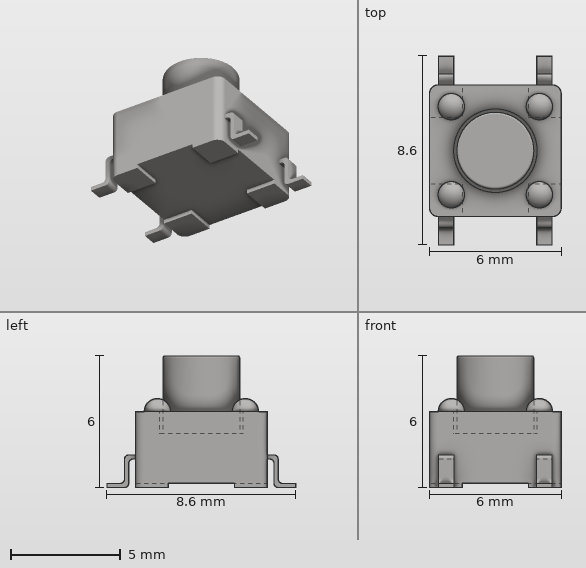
import cadquery as cq

body_side = 6.0
body_top = 3.46
corner_radius = 0.4
foot_height = 0.2
foot_side = 1.5

button_diameter = 3.5
button_top = 6.0
button_edge_radius = 0.1
well_diameter = 3.8
well_depth = 1.0

dome_radius = 0.6
dome_offset = 2.0

span = 8.6
lead_width = 0.705
lead_offset = 2.24
lead_thickness = 0.2
lead_top = 1.5
lead_drop_y = 3.5
bend_radius = 0.2
lead_embed = 0.09

mirror_signs = (-1, 1)


def square_points(offset):
    return [(x * offset, y * offset) for x in mirror_signs for y in mirror_signs]


def make_housing():
    """Rounded block standing on four square corner feet."""
    block = (
        cq.Workplane("XY")
        .rect(body_side, body_side)
        .extrude(body_top)
        .edges("|Z")
        .fillet(corner_radius)
    )
    gap = body_side - 2 * foot_side
    for length, width in ((body_side, gap), (gap, body_side)):
        channel = cq.Workplane("XY").rect(length, width).extrude(foot_height)
        block = block.cut(channel)
    well = cq.Workplane("XY", origin=(0, 0, body_top)).circle(well_diameter / 2).extrude(-well_depth)
    return block.cut(well)


def make_button():
    """Round plunger rising from the floor of the well."""
    base = body_top - well_depth
    return (
        cq.Workplane("XY", origin=(0, 0, base))
        .circle(button_diameter / 2)
        .extrude(button_top - base)
        .faces(">Z")
        .edges()
        .fillet(button_edge_radius)
    )


def make_domes():
    """Four balls whose upper halves show above the housing."""
    return (
        cq.Workplane("XY", origin=(0, 0, body_top))
        .pushPoints(square_points(dome_offset))
        .sphere(dome_radius)
    )


def make_lead(x_center):
    """S-bent strip leaving the +Y side of the housing and ending flat at Z = 0."""
    start = body_side / 2 - lead_embed
    tip = span / 2
    drop_inner = lead_drop_y - lead_thickness
    arm_underside = lead_top - lead_thickness
    return (
        cq.Workplane("YZ", origin=(x_center - lead_width / 2, 0, 0))
        .moveTo(start, lead_top)
        .lineTo(lead_drop_y - bend_radius, lead_top)
        .radiusArc((lead_drop_y, lead_top - bend_radius), bend_radius)
        .lineTo(lead_drop_y, lead_thickness + bend_radius)
        .radiusArc((lead_drop_y + bend_radius, lead_thickness), -bend_radius)
        .lineTo(tip, lead_thickness)
        .lineTo(tip, 0)
        .lineTo(drop_inner + bend_radius, 0)
        .radiusArc((drop_inner, bend_radius), bend_radius)
        .lineTo(drop_inner, arm_underside - bend_radius)
        .radiusArc((drop_inner - bend_radius, arm_underside), -bend_radius)
        .lineTo(start, arm_underside)
        .close()
        .extrude(lead_width)
    )


result = make_housing().union(make_button()).union(make_domes())
for side in mirror_signs:
    lead = make_lead(side * lead_offset)
    result = result.union(lead).union(lead.mirror("XZ"))